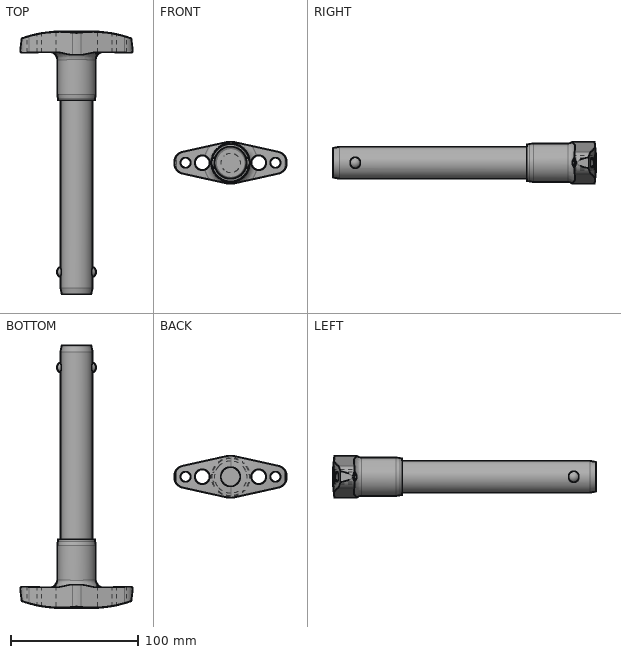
import cadquery as cq
import math


OVERALL_LENGTH = 206.8
HANDLE_LENGTH = 88.7
HANDLE_HEIGHT = 33.21

CENTRE_ARC_RADIUS = 15.5
FLANK_ANGLE = math.radians(12.5)

CREST_X = 11.2
BACK_RADIUS = 93.0
CROWN_RADIUS = 180.0
END_TOP_X = 43.15
END_DRAFT = math.radians(7.3)
END_FILLET = 1.8
FRONT_INNER_Y = -16.4
FRONT_OUTER_Y = -17.05
FRONT_OUTER_X = 42.5

BUTTON_RADIUS = 7.6

LARGE_HOLE_X = 22.2
LARGE_HOLE_DIAMETER = 11.4
SMALL_HOLE_X = 35.3
SMALL_HOLE_DIAMETER = 7.8

COLLAR_RADIUS = 15.2
COLLAR_FILLET = 5.8
COLLAR_ROUND_Y = -49.5
COLLAR_RIM_RADIUS = 14.7
COLLAR_RIM_Y = -52.6
COLLAR_END_Y = -54.4

SHANK_RADIUS = 12.7
TIP_LENGTH = 5.0
TIP_RADIUS = 11.7
TIP_FILLET = 0.5

BALL_RADIUS = 4.4
BALL_TIP_X = 15.5
BALL_FROM_TIP = 17.5


def back_y(x):
    """Y of the arched back at a distance x from the pin axis."""
    return math.sqrt(BACK_RADIUS**2 - (x - CREST_X) ** 2) - BACK_RADIUS


def handle_outline():
    """Long lozenge, rounded at its ends and middle, running the length of the pin."""
    half_length = HANDLE_LENGTH / 2
    half_height = HANDLE_HEIGHT / 2
    sin_a = math.sin(FLANK_ANGLE)
    cos_a = math.cos(FLANK_ANGLE)
    centre_x = CENTRE_ARC_RADIUS * sin_a
    centre_z = half_height - CENTRE_ARC_RADIUS * (1 - cos_a)
    flank_distance = (half_height - CENTRE_ARC_RADIUS) * cos_a + CENTRE_ARC_RADIUS
    end_radius = (flank_distance - half_length * sin_a) / (1 - sin_a)
    end_x = half_length - end_radius * (1 - sin_a)
    end_z = end_radius * cos_a
    return (
        cq.Workplane("XZ")
        .moveTo(-centre_x, centre_z)
        .threePointArc((0, half_height), (centre_x, centre_z))
        .lineTo(end_x, end_z)
        .threePointArc((half_length, 0), (end_x, -end_z))
        .lineTo(centre_x, -centre_z)
        .threePointArc((0, -half_height), (-centre_x, -centre_z))
        .lineTo(-end_x, -end_z)
        .threePointArc((-half_length, 0), (-end_x, end_z))
        .close()
        .extrude(OVERALL_LENGTH)
    )


def crowned_back(side):
    """Body whose outer skin is the arched back of one arm, also crowned across Z."""
    arm_length = HANDLE_LENGTH / 2
    return (
        cq.Workplane("XY")
        .moveTo(0, -CROWN_RADIUS)
        .lineTo(0, back_y(0))
        .threePointArc((side * CREST_X, 0), (side * arm_length, back_y(arm_length)))
        .lineTo(side * arm_length, -CROWN_RADIUS)
        .close()
        .revolve(360, (0, -CROWN_RADIUS, 0), (1, -CROWN_RADIUS, 0))
    )


def handle_block():
    """Bar with drafted ends and a slightly hollow front, wider in Z than the finished handle."""
    end_top_y = back_y(END_TOP_X)
    end_back_x = END_TOP_X + end_top_y * math.tan(END_DRAFT)
    end_front_x = END_TOP_X + (end_top_y - FRONT_OUTER_Y) * math.tan(END_DRAFT)
    block = (
        cq.Workplane("XY")
        .moveTo(-end_back_x, 0)
        .lineTo(end_back_x, 0)
        .lineTo(end_front_x, FRONT_OUTER_Y)
        .lineTo(FRONT_OUTER_X, FRONT_OUTER_Y)
        .threePointArc((0, FRONT_INNER_Y), (-FRONT_OUTER_X, FRONT_OUTER_Y))
        .lineTo(-end_front_x, FRONT_OUTER_Y)
        .close()
        .extrude(HANDLE_HEIGHT, both=True)
    )
    for side in (-1, 1):
        corner = cq.selectors.NearestToPointSelector((side * end_front_x, FRONT_OUTER_Y, 0))
        block = block.edges(corner).fillet(END_FILLET)
    return block


def filleted_collar(block):
    """Join the collar to the front of the block with a concave fillet around its root."""
    collar = cq.Workplane("XZ").circle(COLLAR_RADIUS).extrude(-COLLAR_ROUND_Y)
    root_point = (0, FRONT_INNER_Y, COLLAR_RADIUS)
    root = cq.selectors.NearestToPointSelector(root_point)
    return block.union(collar).edges(root).fillet(COLLAR_FILLET)


def pin():
    """Collar, shank and tapered tip as one turned body."""
    body = (
        cq.Workplane("XY")
        .moveTo(0, FRONT_INNER_Y)
        .lineTo(COLLAR_RADIUS, FRONT_INNER_Y)
        .lineTo(COLLAR_RADIUS, COLLAR_ROUND_Y)
        .tangentArcPoint((COLLAR_RIM_RADIUS, COLLAR_RIM_Y), relative=False)
        .lineTo(COLLAR_RIM_RADIUS, COLLAR_END_Y)
        .lineTo(SHANK_RADIUS, COLLAR_END_Y)
        .lineTo(SHANK_RADIUS, TIP_LENGTH - OVERALL_LENGTH)
        .lineTo(TIP_RADIUS, -OVERALL_LENGTH)
        .lineTo(0, -OVERALL_LENGTH)
        .close()
        .revolve(360, (0, 0, 0), (0, 1, 0))
    )
    return body.faces("<Y").edges().fillet(TIP_FILLET)


def arm_hole(x, diameter):
    """Cutter for one hole running through the handle along Y."""
    return cq.Workplane("XZ").center(x, 0).circle(diameter / 2).extrude(-COLLAR_ROUND_Y)


def ball(side):
    """Locking ball standing out of the shank; side is +1 or -1 along X."""
    centre_x = side * (BALL_TIP_X - BALL_RADIUS)
    centre_y = BALL_FROM_TIP - OVERALL_LENGTH
    return cq.Workplane("XY").sphere(BALL_RADIUS).translate((centre_x, centre_y, 0))


button = cq.Workplane("XZ").circle(BUTTON_RADIUS).extrude(-FRONT_INNER_Y)

handle = filleted_collar(handle_block())
handle = handle.intersect(crowned_back(1).union(crowned_back(-1)))
handle = handle.intersect(handle_outline()).union(button)
for side in (-1, 1):
    handle = handle.cut(arm_hole(side * LARGE_HOLE_X, LARGE_HOLE_DIAMETER))
    handle = handle.cut(arm_hole(side * SMALL_HOLE_X, SMALL_HOLE_DIAMETER))

result = handle.union(pin())
for side in (-1, 1):
    result = result.union(ball(side))